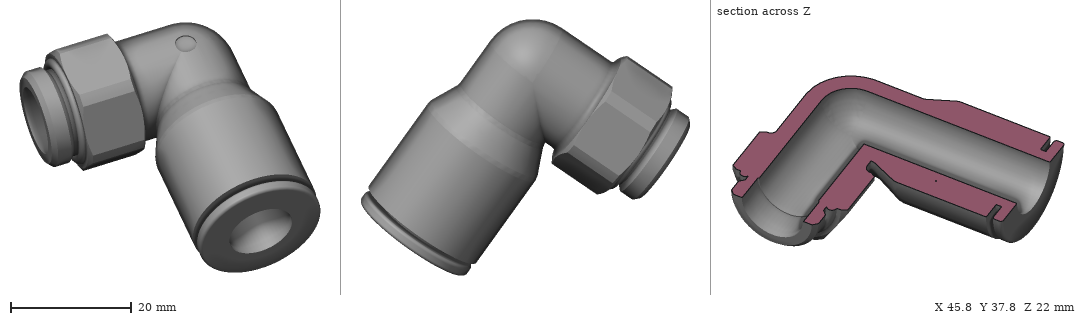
import cadquery as cq
import math

overall_length = 45.75
overall_depth = 37.75
body_diameter = 22.0

elbow_radius = 8.65

body_radius = body_diameter / 2
taper_start = 9.15
taper_end = 14.35
taper_blend_radius = 2.05
body_end = 31.9
neck_radius = 7.6
collar_radius = 10.8
collar_start = 32.85
collar_edge_radius = 0.55

hex_across_flats = 20.0
hex_corner_radius = 11.0
arm_end = overall_length - hex_corner_radius
hex_start = 11.0
hex_end = 21.3
hex_chamfer_angle = 30
stem_flare_radius = 1.1

ring_center_radius = 8.3
ring_section_radius = 0.9
groove_radius = 7.5
groove_end = 22.7
thread_radius = 8.35
thread_chamfer = thread_radius - groove_radius
stem_end = overall_depth - body_radius
thread_start = groove_end + thread_chamfer

passage_radius = 5.6
mouth_radius = 5.8

recess_radius = 1.8
recess_depth = 0.5


def revolve_about_x(points):
    """Turn an (x, radius) outline about the X axis."""
    outline = cq.Workplane("XY").polyline(points).close()
    return outline.revolve(360, (0, 0, 0), (1, 0, 0))


def revolve_about_y(outline):
    """Turn a closed (radius, y) outline about the Y axis."""
    return outline.revolve(360, (0, 0, 0), (0, 1, 0))


def stem_cylinder(radius, start_depth, end_depth):
    """Cylinder on the stem axis between two depths along -Y."""
    base = cq.Workplane("XZ").workplane(offset=start_depth)
    return base.circle(radius).extrude(end_depth - start_depth)


def make_body():
    """Straight elbow arm with a blended taper up to the large body."""
    body = revolve_about_x([
        (0, 0),
        (0, elbow_radius),
        (taper_start, elbow_radius),
        (taper_end, body_radius),
        (body_end, body_radius),
        (body_end, 0),
    ])
    margin = 0.45
    taper_box = cq.selectors.BoxSelector(
        (taper_start - margin, -body_diameter, -body_diameter),
        (taper_end + margin, body_diameter, body_diameter),
    )
    taper_edges = body.edges("%CIRCLE").edges(taper_box)
    return taper_edges.fillet(taper_blend_radius)


def make_release_collar():
    """Narrow neck and round-edged collar at the outer end of the arm."""
    neck = cq.Workplane("YZ").workplane(offset=body_end).circle(neck_radius)
    neck = neck.extrude(collar_start - body_end)
    collar = cq.Workplane("YZ").workplane(offset=collar_start).circle(collar_radius)
    collar = collar.extrude(arm_end - collar_start).edges().fillet(collar_edge_radius)
    return neck.union(collar)


def make_hexagon():
    """Hexagon with its corners turned down and chamfered at both ends."""
    across_corners = hex_across_flats / math.cos(math.radians(30))
    prism = cq.Workplane("XZ").workplane(offset=hex_start)
    prism = prism.polygon(6, across_corners).extrude(hex_end - hex_start)

    face_radius = hex_across_flats / 2
    chamfer_length = (hex_corner_radius - face_radius) * math.tan(math.radians(hex_chamfer_angle))
    turned_outline = cq.Workplane("XY").polyline([
        (0, -hex_start),
        (face_radius, -hex_start),
        (hex_corner_radius, -hex_start - chamfer_length),
        (hex_corner_radius, -hex_end + chamfer_length),
        (face_radius, -hex_end),
        (0, -hex_end),
    ]).close()
    return prism.intersect(revolve_about_y(turned_outline))


def make_stem():
    """Round stem that flares out tangentially onto the hexagon."""
    flare_start = hex_start - stem_flare_radius
    arc_offset = stem_flare_radius * (1 - math.cos(math.radians(45)))
    outline = (
        cq.Workplane("XY")
        .lineTo(elbow_radius, 0)
        .lineTo(elbow_radius, -flare_start)
        .threePointArc(
            (elbow_radius + arc_offset, -hex_start + arc_offset),
            (elbow_radius + stem_flare_radius, -hex_start),
        )
        .lineTo(0, -hex_start)
        .close()
    )
    return revolve_about_y(outline)


def make_thread_end():
    """Undercut groove and chamfered thread cylinder below the hexagon."""
    outline = cq.Workplane("XY").polyline([
        (0, -hex_end),
        (groove_radius, -hex_end),
        (groove_radius, -groove_end),
        (thread_radius, -thread_start),
        (thread_radius, -stem_end + thread_chamfer),
        (groove_radius, -stem_end),
        (0, -stem_end),
    ]).close()
    return revolve_about_y(outline)


def make_sealing_ring():
    """Exposed half of the sealing ring, standing out of the hexagon face."""
    outline = (
        cq.Workplane("XY")
        .moveTo(ring_center_radius - ring_section_radius, -hex_end)
        .threePointArc(
            (ring_center_radius, -hex_end - ring_section_radius),
            (ring_center_radius + ring_section_radius, -hex_end),
        )
        .close()
    )
    return revolve_about_y(outline)


def make_passage():
    """Bore turning through the elbow, slightly wider at the stem mouth."""
    arm_bore = cq.Workplane("YZ").circle(passage_radius).extrude(arm_end)
    stem_bore = stem_cylinder(passage_radius, 0, hex_end)
    mouth = stem_cylinder(mouth_radius, hex_end, stem_end)
    corner = cq.Workplane("XY").sphere(passage_radius)
    return arm_bore.union(corner).union(stem_bore).union(mouth)


def make_recess():
    """Flat-bottomed round recess centred over the crossing of the axes."""
    floor = cq.Workplane("XY").workplane(offset=elbow_radius - recess_depth)
    return floor.circle(recess_radius).extrude(2 * recess_depth)


result = (
    cq.Workplane("XY").sphere(elbow_radius)
    .union(make_body())
    .union(make_release_collar())
    .union(make_stem())
    .union(make_hexagon())
    .union(make_thread_end())
    .union(make_sealing_ring())
    .cut(make_passage())
    .cut(make_recess())
)